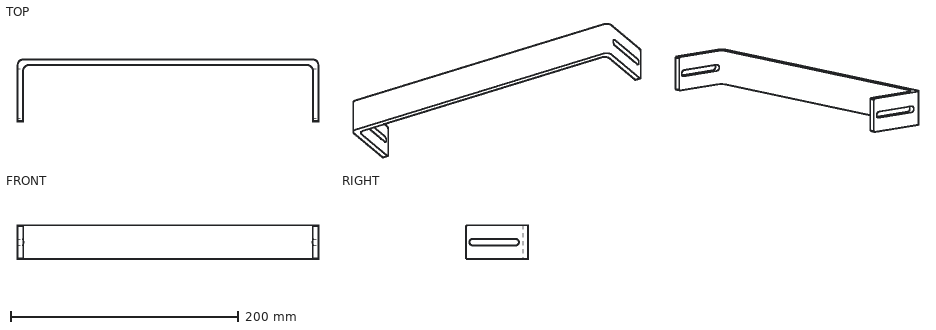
import cadquery as cq

length = 265.0
depth = 55.0
height = 30.0
thickness = 5.0

bend_radius = 5.0
tip_chamfer = 1.0

slot_width = 5.5
slot_travel = 38.0
slot_tip_offset = 6.0

half_length = length / 2
half_depth = depth / 2


def rounded_block(block_length):
    """Block of the bracket's depth and height, rounded on its two rear upright edges."""
    return cq.Workplane("XY").box(block_length, depth, height).edges("|Z and >Y").fillet(bend_radius)


def bent_strip():
    """Strip bent into a U, open toward -Y, with rounded bends inside and out."""
    outer = rounded_block(length)
    inner = rounded_block(length - 2 * thickness).translate((0, -thickness, 0))
    return outer.cut(inner)


def chamfer_leg_tips(body):
    """Chamfer the upper and lower corners at the free end of each leg."""
    return body.faces("<Y").edges("|X").chamfer(tip_chamfer)


def slot_cutter():
    """Round-ended bar along Y at mid height, long enough to pass through both legs."""
    slot_center_y = -half_depth + slot_tip_offset + slot_travel / 2
    return (
        cq.Workplane("YZ", origin=(-half_length, slot_center_y, 0))
        .slot2D(slot_travel + slot_width, slot_width)
        .extrude(length)
    )


bracket = chamfer_leg_tips(bent_strip())
result = bracket.cut(slot_cutter())